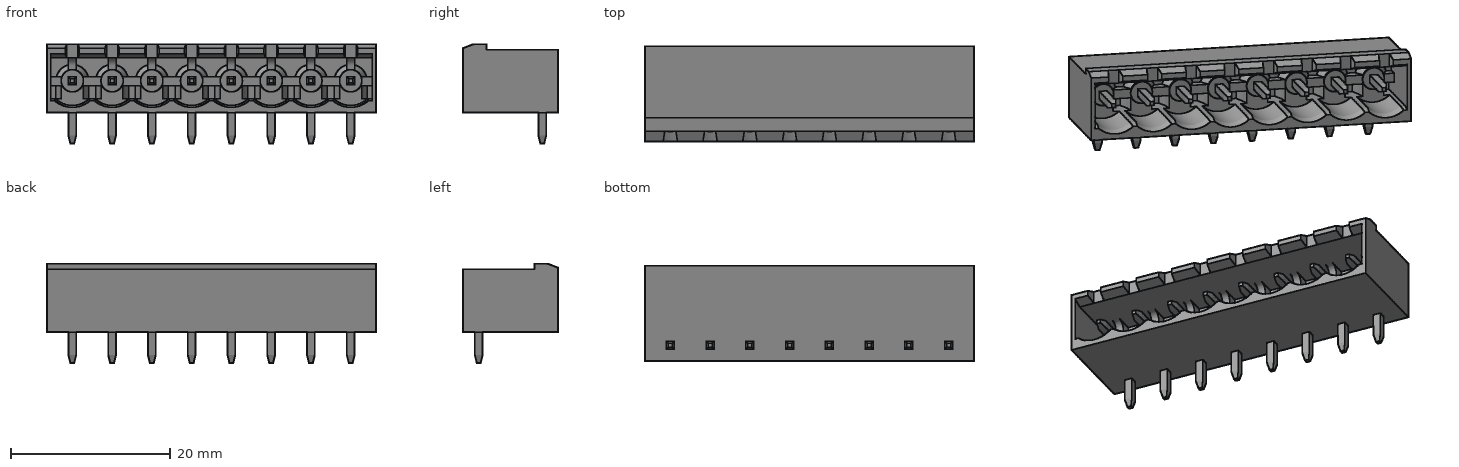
import cadquery as cq


pin_count = 8
pitch = 5.0
length = 41.4
depth = 12.0
height = 8.6
rear_height = 7.9
lip_depth = 3.0
lip_slope_depth = 1.3
lip_slope_drop = 0.5

side_wall = 0.5
cavity_depth = 8.5
cavity_floor = 1.73
cavity_ceiling = 6.9
mouth_floor = 1.5
mouth_ceiling = 7.4
mouth_floor_depth = 1.2
mouth_ceiling_depth = 1.3

pin_height = 4.0
trough_radius = 3.1
trough_mouth_radius = 3.35

notch_front_width = 1.8
notch_back_width = 1.4

ledge_thickness = 1.4
ledge_top = 4.5
boss_base_radius = 2.05
boss_radius = 1.4
boss_projection = 0.2
rib_fillet = 1.0

groove_mouth_width = 2.26
groove_throat_width = 1.76
groove_end_width = 0.86
groove_depth = 2.75
groove_top = 3.35

pin_size = 1.0
pin_tip_size = 0.5
pin_taper = 1.0
pin_tip_setback = 1.25
tail_length = 3.9
tail_from_rear = 2.0

first_pin_x = -pitch * (pin_count - 1) / 2
pin_xs = [first_pin_x + i * pitch for i in range(pin_count)]
groove_xs = [first_pin_x + (i - 0.5) * pitch for i in range(pin_count + 1)]
cavity_length = length - 2 * side_wall
ledge_front = cavity_depth - ledge_thickness
tail_y = depth - tail_from_rear


def along_row(points, row_length):
    """Extrude a (Y, Z) outline along X, centred on X = 0."""
    return cq.Workplane("YZ").polyline(points).close().extrude(row_length / 2, both=True)


def make_housing():
    return along_row(
        [
            (0, 0),
            (depth, 0),
            (depth, rear_height),
            (lip_depth, rear_height),
            (lip_depth, height),
            (lip_slope_depth, height),
            (0, height - lip_slope_drop),
        ],
        length,
    )


def make_cavity():
    return along_row(
        [
            (0, mouth_floor),
            (mouth_floor_depth, cavity_floor),
            (cavity_depth, cavity_floor),
            (cavity_depth, cavity_ceiling),
            (mouth_ceiling_depth, cavity_ceiling),
            (0, mouth_ceiling),
        ],
        cavity_length,
    )


def make_trough(x):
    """Lower half of a cylinder with a flared mouth, kept inside the cavity width."""
    profile = [
        (0, 0),
        (trough_mouth_radius, 0),
        (trough_radius, mouth_floor_depth),
        (trough_radius, cavity_depth),
        (0, cavity_depth),
    ]
    round_bore = cq.Workplane("XY").polyline(profile).close().revolve(360, (0, 0, 0), (0, 1, 0))
    below_floor = cq.Workplane("XY").box(pitch, depth, cavity_floor, centered=(True, False, False))
    return round_bore.translate((x, 0, pin_height)).intersect(below_floor.translate((x, 0, 0)))


def make_notch(x):
    front = notch_front_width / 2
    back = notch_back_width / 2
    outline = [(-front, 0), (front, 0), (back, lip_slope_depth), (-back, lip_slope_depth)]
    notch = cq.Workplane("XY").polyline(outline).close().extrude(height - cavity_ceiling)
    return notch.translate((x, 0, cavity_ceiling))


def make_ledge():
    """Bar across the back wall that also closes the rear ends of the troughs."""
    bottom = pin_height - trough_radius
    return along_row(
        [
            (ledge_front, bottom),
            (cavity_depth, bottom),
            (cavity_depth, ledge_top),
            (ledge_front, ledge_top),
        ],
        cavity_length,
    )


def make_groove(x):
    """Tapering groove through the ledge and into the back wall, cut off at the side walls."""
    mouth = groove_mouth_width / 2
    throat = groove_throat_width / 2
    end = groove_end_width / 2
    outline = [
        (-mouth, 0),
        (mouth, 0),
        (throat, ledge_thickness),
        (end, groove_depth),
        (-end, groove_depth),
        (-throat, ledge_thickness),
    ]
    groove = cq.Workplane("XY").polyline(outline).close().extrude(groove_top - cavity_floor)
    within_cavity = cq.Workplane("XY").box(cavity_length, depth, height, centered=(True, False, False))
    return groove.translate((x, ledge_front, cavity_floor)).intersect(within_cavity)


def make_boss(x):
    """Cone on the back wall that ends in a short cylinder in front of the ledge."""
    boss_front = ledge_front - boss_projection
    profile = [
        (0, boss_front),
        (boss_radius, boss_front),
        (boss_radius, ledge_front),
        (boss_base_radius, cavity_depth),
        (0, cavity_depth),
    ]
    boss = cq.Workplane("XY").polyline(profile).close().revolve(360, (0, 0, 0), (0, 1, 0))
    return boss.translate((x, 0, pin_height))


def make_rib(x):
    """Web above a boss, flush with the ledge and blended into the cavity ceiling by a concave round."""
    fillet_bottom = cavity_ceiling - rib_fillet
    outline = (
        cq.Workplane("YZ")
        .moveTo(cavity_depth, pin_height)
        .lineTo(cavity_depth, cavity_ceiling)
        .lineTo(ledge_front - rib_fillet, cavity_ceiling)
        .radiusArc((ledge_front, fillet_bottom), rib_fillet)
        .lineTo(ledge_front, pin_height)
        .close()
    )
    return outline.extrude(pin_size / 2, both=True).translate((x, 0, 0))


def make_prong(prong_length):
    """Square bar along +Z that starts at the origin and ends in a tapered tip."""
    shank_length = prong_length - pin_taper
    shank = cq.Workplane("XY").rect(pin_size, pin_size).extrude(shank_length)
    tip = (
        cq.Workplane("XY", origin=(0, 0, shank_length))
        .rect(pin_size, pin_size)
        .workplane(offset=pin_taper)
        .rect(pin_tip_size, pin_tip_size)
        .loft(ruled=True)
    )
    return shank.union(tip)


def make_pin(x):
    """Right-angle pin: a contact toward the opening and a solder tail below."""
    contact = make_prong(tail_y - pin_tip_setback).rotate((0, 0, 0), (1, 0, 0), 90)
    tail = make_prong(pin_height + tail_length).rotate((0, 0, 0), (1, 0, 0), 180)
    return contact.union(tail).translate((x, tail_y, pin_height))


body = make_housing().cut(make_cavity())
for x in pin_xs:
    body = body.cut(make_trough(x)).cut(make_notch(x))

body = body.union(make_ledge())
for x in pin_xs:
    body = body.union(make_boss(x)).union(make_rib(x))
for x in groove_xs:
    body = body.cut(make_groove(x))
for x in pin_xs:
    body = body.union(make_pin(x))

result = body